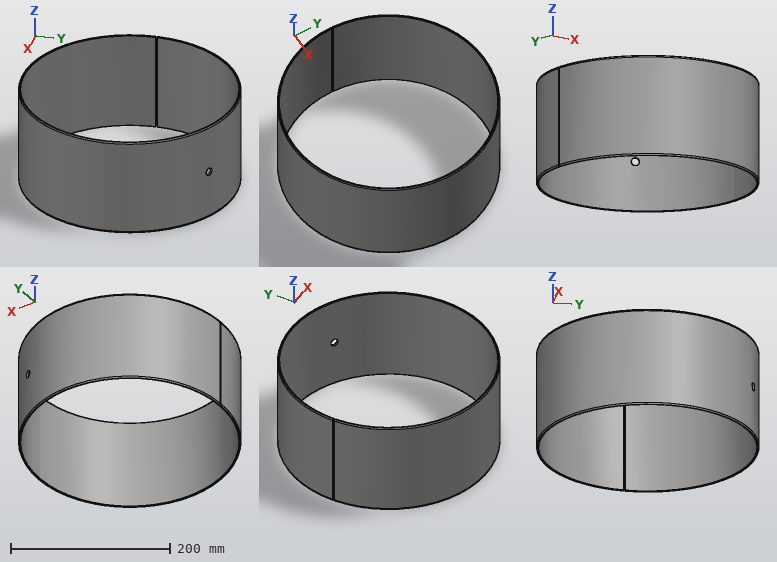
import cadquery as cq

outer_diameter = 280.0
height = 130.0
wall = 2.8
bevel_depth = 0.8
bevel_height = 2.2
inner_chamfer = 0.8
split_width = 2.2
hole_diameter = 10.0
hole_angle = 59.0

outer_radius = outer_diameter / 2
inner_radius = outer_radius - wall
rim_radius = outer_radius - bevel_depth
half_height = height / 2
bevel_start = half_height - bevel_height
chamfer_radius = inner_radius + inner_chamfer
chamfer_start = half_height - inner_chamfer


def make_ring():
    """Revolve the beveled wall section around Z, centred on the origin."""
    section = cq.Workplane("XZ").polyline([
        (inner_radius, -chamfer_start),
        (chamfer_radius, -half_height),
        (rim_radius, -half_height),
        (outer_radius, -bevel_start),
        (outer_radius, bevel_start),
        (rim_radius, half_height),
        (chamfer_radius, half_height),
        (inner_radius, chamfer_start),
    ]).close()
    return section.revolve(360, (0, 0, 0), (0, 1, 0))


def make_split():
    """Full-height gap through the -X wall, with one face on the XZ plane."""
    gap = cq.Workplane("XY").box(outer_radius, split_width, height, centered=(False, False, True))
    return gap.translate((-outer_radius, 0, 0))


def make_hole():
    """Radial drill at mid-height that passes through one wall only."""
    drill = cq.Workplane("YZ").circle(hole_diameter / 2).extrude(outer_diameter)
    return drill.rotate((0, 0, 0), (0, 0, 1), hole_angle)


result = make_ring().cut(make_split()).cut(make_hole())